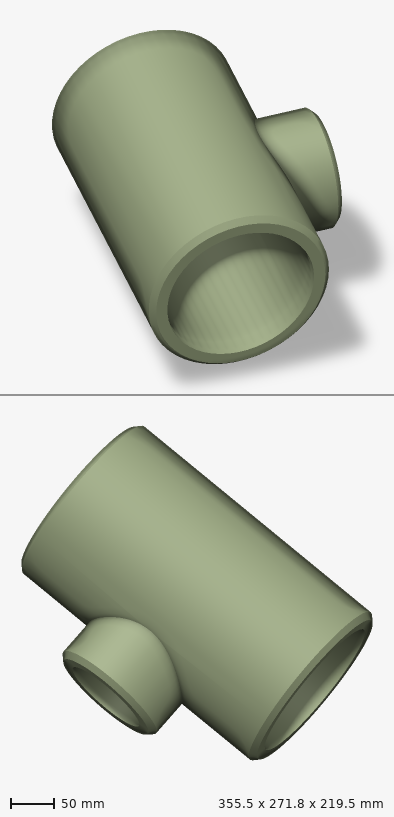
import cadquery as cq

run_length = 355.5
run_diameter = 219.5
bore_diameter = 178.5
wall = (run_diameter - bore_diameter) / 2

branch_diameter = 142.2
branch_reach = 162.0
branch_bore_diameter = branch_diameter - 2 * wall

end_chamfer = 6.8


def along_x(diameter):
    """Cylinder along the full length of the run."""
    return cq.Workplane("YZ").circle(diameter / 2).extrude(run_length / 2, both=True)


def along_branch(diameter):
    """Cylinder from the run axis to the end of the branch."""
    return cq.Workplane("XZ").circle(diameter / 2).extrude(-branch_reach)


run = along_x(run_diameter).faces("<X or >X").chamfer(end_chamfer)
branch = along_branch(branch_diameter).faces(">Y").chamfer(end_chamfer)

body = run.union(branch)
result = body.cut(along_x(bore_diameter)).cut(along_branch(branch_bore_diameter))